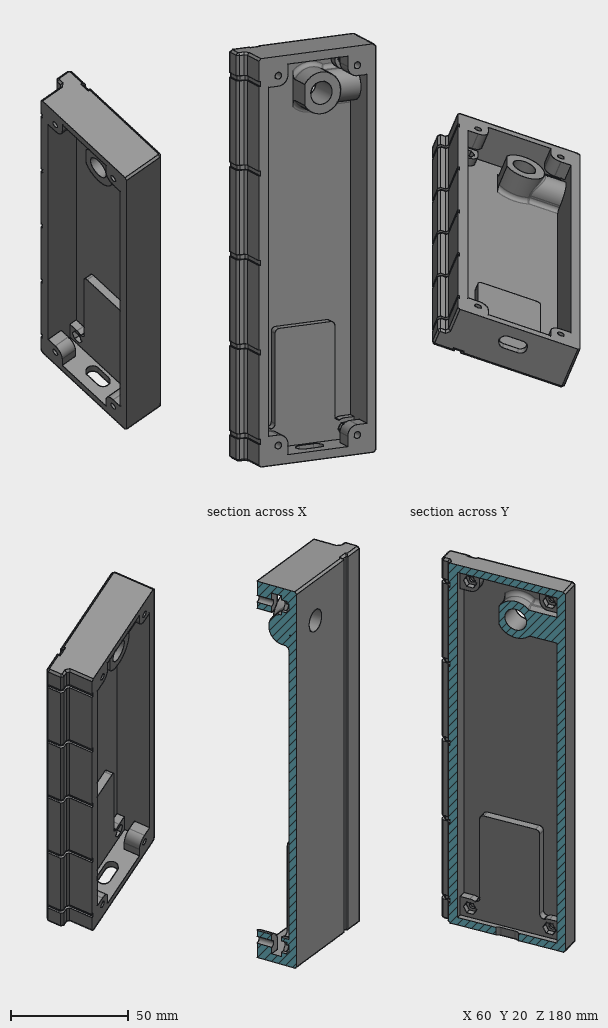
import cadquery as cq
import math

width = 60.0
depth = 20.0
height = 180.0
edge_chamfer = 1.0

lip_overhang = 4.3
lip_thickness = 8.1

groove_depth = 0.81
side_groove_width = 2.2
side_groove_count = 5
side_groove_pitch = 39.5
back_groove_width = 2.9
back_groove_x = 11.7

pocket_left = 9.0
pocket_right = 55.8
floor_y = 15.8
end_wall = 4.0
pocket_center_x = (pocket_left + pocket_right) / 2

post_size = 9.2
post_radius = post_size / 2
post_depth = 7.4
screw_radius = 1.5
nut_radius = 3.0
nut_depth = 2.5
screw_left = pocket_left + post_radius
screw_right = pocket_right - post_radius
screw_bottom = end_wall + post_radius
screw_top = height - screw_bottom

raised_y = 12.2
pad_top_z = 56.3
pad_corner_radius = 2.0
pad_half_width = pocket_center_x - pocket_left - post_size

boss_x = 36.4
boss_z = 160.0
boss_radius = 9.2
boss_front_y = 4.5
boss_flat_x = 28.5
boss_hole_radius = 5.0
tube_radius = 7.2
tube_center_y = 13.0
base_fillet = 2.0
joint_fillet = 0.9
base_reach = boss_radius + base_fillet

slot_length = 12.6
slot_width = 6.0
slot_center_y = 7.7

select_margin = 0.2


def box(x_range, y_range, z_range):
    """Axis-aligned block between the given limits."""
    sizes = [high - low for low, high in (x_range, y_range, z_range)]
    corner = (x_range[0], y_range[0], z_range[0])
    return cq.Workplane("XY").box(*sizes, centered=False).translate(corner)


def rod(x, z, radius, y_start, y_end):
    """Cylinder along Y."""
    circle = cq.Workplane("XZ", origin=(x, y_start, z)).circle(radius)
    return circle.extrude(y_start - y_end)


def left_side(inset):
    """Points of the stepped left side, from the back to the front, moved inward by inset."""
    c = edge_chamfer
    step_y = depth - lip_thickness + inset
    return [
        (inset + c, depth),
        (inset, depth - c),
        (inset, step_y + c),
        (inset + c, step_y),
        (inset + lip_overhang - c, step_y),
        (inset + lip_overhang, step_y - c),
        (inset + lip_overhang, 0),
    ]


def make_shell():
    """Solid block with its stepped side, back groove and chamfered outer edges."""
    right_side = [
        (width, 0),
        (width, depth - edge_chamfer),
        (width - edge_chamfer, depth),
    ]
    block = cq.Workplane("XY").polyline(left_side(0) + right_side).close().extrude(height)
    groove_left = back_groove_x - back_groove_width / 2
    groove_right = back_groove_x + back_groove_width / 2
    block = block.cut(box((groove_left, groove_right), (depth - groove_depth, depth), (0, height)))
    front_edges = cq.selectors.BoxSelector(
        (0, -select_margin, -select_margin), (width, select_margin, height + select_margin)
    )
    end_edges = block.faces("<Z or >Z").edges(cq.selectors.InverseSelector(front_edges))
    return end_edges.chamfer(edge_chamfer)


def make_side_grooves():
    """Cutters for the grooves that follow the stepped left side."""
    inner = left_side(groove_depth)
    inner[0] = (groove_depth, depth)
    profile = [(-groove_depth, depth)] + inner + [(-groove_depth, 0)]
    cutter = cq.Workplane("XY").polyline(profile).close().extrude(side_groove_width)
    cutters = cq.Workplane("XY")
    for index in range(side_groove_count):
        offset = (index - (side_groove_count - 1) / 2) * side_groove_pitch
        cutters = cutters.add(cutter.translate((0, 0, height / 2 + offset - side_groove_width / 2)))
    return cutters.combine()


def corner_post(x, z, y_start, y_end):
    """Post centred on a screw, filling its pocket corner, rounded toward the pocket middle."""
    toward_wall = math.copysign(post_radius, x - pocket_center_x)
    toward_end = math.copysign(post_radius, z - height / 2)
    profile = (
        cq.Workplane("XZ", origin=(0, y_start, 0))
        .moveTo(x + toward_wall, z + toward_end)
        .lineTo(x - toward_wall, z + toward_end)
        .lineTo(x - toward_wall, z)
        .threePointArc(
            (x - toward_wall * math.sqrt(0.5), z - toward_end * math.sqrt(0.5)),
            (x, z - toward_end),
        )
        .lineTo(x + toward_wall, z - toward_end)
        .close()
    )
    return profile.extrude(y_start - y_end)


def pad_fillet(x):
    """Fills the crevice between the pad's side and the rounded nut holder at screw position x."""
    outward = math.copysign(1, x - pocket_center_x)
    pad_side = pocket_center_x + outward * pad_half_width
    rise = 2 * math.sqrt(post_radius * pad_corner_radius)
    web_x = sorted((pad_side, pad_side + outward * pad_corner_radius))
    web = box(web_x, (raised_y, floor_y), (screw_bottom, screw_bottom + rise))
    hollow_x = pad_side + outward * pad_corner_radius
    return web.cut(rod(hollow_x, screw_bottom + rise, pad_corner_radius, raised_y, floor_y))


def make_pad():
    """Raised pad running up from the lower end wall."""
    pad_sides = (pocket_center_x - pad_half_width, pocket_center_x + pad_half_width)
    pad = box(pad_sides, (raised_y, floor_y), (end_wall, pad_top_z))
    pad = pad.faces(">Z").edges("|Y").fillet(pad_corner_radius)
    return pad.union(pad_fillet(screw_left)).union(pad_fillet(screw_right))


def nut_recess(x, z):
    """Hexagonal recess with flats parallel to the end walls."""
    hexagon = cq.Workplane("XZ", origin=(x, raised_y, z)).polygon(6, 2 * nut_radius)
    return hexagon.extrude(-nut_depth)


def make_cable_boss():
    """Round boss and the half-round tube running from it to the right wall."""
    boss = rod(boss_x, boss_z, boss_radius, boss_front_y, floor_y)
    tube = (
        cq.Workplane("YZ", origin=(boss_x, 0, boss_z))
        .moveTo(floor_y, -tube_radius)
        .lineTo(tube_center_y, -tube_radius)
        .threePointArc((tube_center_y - tube_radius, 0), (tube_center_y, tube_radius))
        .lineTo(floor_y, tube_radius)
        .close()
        .extrude(pocket_right - boss_x)
    )
    boss = boss.union(tube)
    joint = cq.selectors.BoxSelector(
        (boss_x + select_margin, boss_front_y + select_margin, boss_z - base_reach),
        (pocket_right - select_margin, floor_y - select_margin, boss_z + base_reach),
    )
    return boss.edges(joint).fillet(joint_fillet)


def make_slot():
    """Rounded slot through the lower end wall."""
    return (
        cq.Workplane("XY", origin=(pocket_center_x, slot_center_y, 0))
        .slot2D(slot_length, slot_width)
        .extrude(end_wall)
    )


body = make_shell().cut(make_side_grooves())
body = body.cut(box((pocket_left, pocket_right), (0, floor_y), (end_wall, height - end_wall)))
body = body.union(make_pad())

boss_heights = (boss_z - base_reach, boss_z + base_reach)
floor_line = cq.selectors.BoxSelector(
    (boss_x - base_reach, floor_y - select_margin, boss_heights[0]),
    (pocket_right - select_margin, floor_y + select_margin, boss_heights[1]),
)
body = body.union(make_cable_boss()).edges(floor_line).fillet(base_fillet)

body = body.cut(box((pocket_left, boss_flat_x), (0, floor_y), boss_heights))
body = body.cut(rod(boss_x, boss_z, boss_hole_radius, 0, depth))

for x in (screw_left, screw_right):
    for z in (screw_bottom, screw_top):
        body = body.union(corner_post(x, z, 0, post_depth))
        body = body.union(corner_post(x, z, raised_y, floor_y))
        body = body.cut(nut_recess(x, z))
        body = body.cut(rod(x, z, screw_radius, 0, floor_y))

result = body.cut(make_slot())